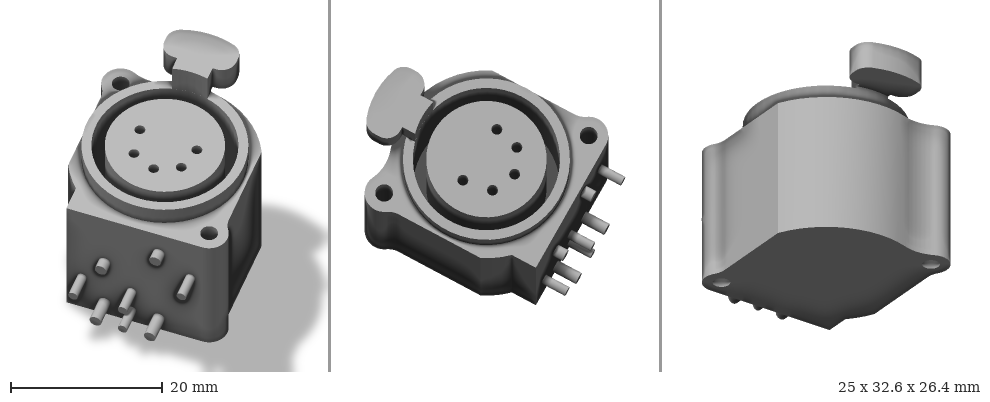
import cadquery as cq
import math


BODY_HEIGHT = 19.5
SIDE_X = 11.55
CORNER_ARC_RADIUS = 12.8
NOTCH_X = -9.2
EAR_OFFSET = 9.92
EAR_RADIUS = 2.58
EAR_HOLE_RADIUS = 1.17
SIDE_BLEND_RADIUS = 2.87
TOP_BLEND_RADIUS = 5.95
BOTTOM_Y = -(EAR_OFFSET + EAR_RADIUS)

RING_HEIGHT = 2.7
RING_TOP = BODY_HEIGHT + RING_HEIGHT
RING_RADIUS = 11.0
RING_INNER_RADIUS = 9.7
CORE_RADIUS = 7.93
GROOVE_DEPTH = 14.68
SOCKET_RADIUS = 0.72
SOCKET_DEPTH = 9.8
SOCKET_CENTRES = [(-4.0, 1.35), (-3.33, -2.75), (0, -4.25), (3.33, -2.75), (4.2, 0.75)]

PIN_LENGTH = 3.5
PEG_LENGTH = 1.5
THIN_RADIUS = 0.65
THICK_RADIUS = 0.8
THICK_X = 3.82
LOW_ROW_Z = 2.3
MID_ROW_Z = 6.15
CONTACT_PIN_CENTRES = [(-6.98, MID_ROW_Z), (0, MID_ROW_Z), (0, LOW_ROW_Z), (8.25, 12.53)]
GROUND_PIN_CENTRES = [(-THICK_X, LOW_ROW_Z), (THICK_X, LOW_ROW_Z)]
PEG_CENTRES = [(-THICK_X, 10.6), (THICK_X, 15.7)]

LATCH_TOP = 26.4
LATCH_CLEARANCE = 0.33
NECK_HALF_WIDTH = 2.48
HEAD_HALF_WIDTH = 5.05
HEAD_BOTTOM_Y = 11.3
HEAD_TOP_Y = 16.65
HEAD_CORNER_RADIUS = 2.02
HEAD_TOP_RADIUS = 11.1


def toward(start, end, distance):
    """Point at the given distance from start, on the line to end."""
    share = distance / math.dist(start, end)
    return (start[0] + share * (end[0] - start[0]), start[1] + share * (end[1] - start[1]))


def arc_middle(centre, radius, start, end):
    """Middle point of the shorter arc from start to end."""
    chord_middle = ((start[0] + end[0]) / 2, (start[1] + end[1]) / 2)
    return toward(centre, chord_middle, radius)


def opposite(point):
    """Point turned half a turn about the axis."""
    return (-point[0], -point[1])


def housing_outline():
    axis = (0, 0)
    ear = (-EAR_OFFSET, EAR_OFFSET)
    arc_end_y = math.sqrt(CORNER_ARC_RADIUS**2 - SIDE_X**2)

    side_blend_x = -SIDE_X - SIDE_BLEND_RADIUS
    side_reach = SIDE_BLEND_RADIUS + EAR_RADIUS
    side_blend_y = EAR_OFFSET - math.sqrt(side_reach**2 - (side_blend_x + EAR_OFFSET)**2)
    side_blend = (side_blend_x, side_blend_y)
    side_start = (-SIDE_X, side_blend_y)
    side_end = toward(side_blend, ear, SIDE_BLEND_RADIUS)
    side_middle = arc_middle(side_blend, SIDE_BLEND_RADIUS, side_start, side_end)

    ear_distance = math.hypot(*ear)
    axis_reach = CORNER_ARC_RADIUS + TOP_BLEND_RADIUS
    ear_reach = EAR_RADIUS + TOP_BLEND_RADIUS
    cosine = (ear_distance**2 + axis_reach**2 - ear_reach**2) / (2 * ear_distance * axis_reach)
    angle = math.atan2(ear[1], ear[0]) - math.acos(cosine)
    top_blend = (axis_reach * math.cos(angle), axis_reach * math.sin(angle))
    top_start = toward(top_blend, ear, TOP_BLEND_RADIUS)
    top_end = toward(top_blend, axis, TOP_BLEND_RADIUS)
    top_middle = arc_middle(top_blend, TOP_BLEND_RADIUS, top_start, top_end)

    ear_middle = arc_middle(ear, EAR_RADIUS, side_end, top_start)
    upper_arc_end = (SIDE_X, arc_end_y)
    upper_arc_middle = arc_middle(axis, CORNER_ARC_RADIUS, top_end, upper_arc_end)

    lower_ear = opposite(ear)
    lower_ear_start = opposite(side_end)
    lower_ear_end = (EAR_OFFSET, BOTTOM_Y)
    lower_ear_middle = arc_middle(lower_ear, EAR_RADIUS, lower_ear_start, lower_ear_end)

    lower_arc_start = (NOTCH_X, -math.sqrt(CORNER_ARC_RADIUS**2 - NOTCH_X**2))
    lower_arc_end = (-SIDE_X, -arc_end_y)
    lower_arc_middle = arc_middle(axis, CORNER_ARC_RADIUS, lower_arc_start, lower_arc_end)

    return (
        cq.Workplane("XY")
        .moveTo(*side_start)
        .threePointArc(side_middle, side_end)
        .threePointArc(ear_middle, top_start)
        .threePointArc(top_middle, top_end)
        .threePointArc(upper_arc_middle, upper_arc_end)
        .lineTo(*opposite(side_start))
        .threePointArc(opposite(side_middle), lower_ear_start)
        .threePointArc(lower_ear_middle, lower_ear_end)
        .lineTo(NOTCH_X, BOTTOM_Y)
        .lineTo(*lower_arc_start)
        .threePointArc(lower_arc_middle, lower_arc_end)
        .close()
    )


def bottom_cylinder(centre, radius, length):
    """Cylinder standing out from the bottom side of the housing."""
    plane = cq.Workplane("XZ", origin=(0, BOTTOM_Y, 0))
    return plane.center(*centre).circle(radius).extrude(length)


def make_housing():
    body = housing_outline().extrude(BODY_HEIGHT)
    body = body.union(cq.Workplane("XY").circle(RING_RADIUS).extrude(RING_TOP))

    groove = (
        cq.Workplane("XY", origin=(0, 0, RING_TOP))
        .circle(RING_INNER_RADIUS)
        .circle(CORE_RADIUS)
        .extrude(-GROOVE_DEPTH)
    )
    sockets = (
        cq.Workplane("XY", origin=(0, 0, RING_TOP))
        .pushPoints(SOCKET_CENTRES)
        .circle(SOCKET_RADIUS)
        .extrude(-SOCKET_DEPTH)
    )
    ear_holes = (
        cq.Workplane("XY")
        .pushPoints([(-EAR_OFFSET, EAR_OFFSET), (EAR_OFFSET, -EAR_OFFSET)])
        .circle(EAR_HOLE_RADIUS)
        .extrude(BODY_HEIGHT)
    )
    body = body.cut(groove).cut(sockets).cut(ear_holes)

    for centre in PEG_CENTRES:
        body = body.union(bottom_cylinder(centre, THICK_RADIUS, PEG_LENGTH))
    return body


def make_contact_pin(centre):
    return bottom_cylinder(centre, THIN_RADIUS, PIN_LENGTH)


def make_ground_pin(centre):
    return bottom_cylinder(centre, THICK_RADIUS, PIN_LENGTH)


def latch_head():
    corner_x = HEAD_HALF_WIDTH - HEAD_CORNER_RADIUS
    low_corner_y = HEAD_BOTTOM_Y + HEAD_CORNER_RADIUS
    diagonal = HEAD_CORNER_RADIUS * math.sqrt(0.5)

    top_centre = (0, HEAD_TOP_Y - HEAD_TOP_RADIUS)
    corner_reach = HEAD_TOP_RADIUS - HEAD_CORNER_RADIUS
    high_corner_y = top_centre[1] + math.sqrt(corner_reach**2 - corner_x**2)
    high_corner = (corner_x, high_corner_y)
    side_end = (HEAD_HALF_WIDTH, high_corner_y)
    top_start = toward(top_centre, high_corner, HEAD_TOP_RADIUS)
    high_middle = arc_middle(high_corner, HEAD_CORNER_RADIUS, side_end, top_start)

    return (
        cq.Workplane("XY", origin=(0, 0, RING_TOP + LATCH_CLEARANCE))
        .moveTo(-corner_x, HEAD_BOTTOM_Y)
        .lineTo(corner_x, HEAD_BOTTOM_Y)
        .threePointArc((corner_x + diagonal, low_corner_y - diagonal), (HEAD_HALF_WIDTH, low_corner_y))
        .lineTo(*side_end)
        .threePointArc(high_middle, top_start)
        .threePointArc((0, HEAD_TOP_Y), (-top_start[0], top_start[1]))
        .threePointArc((-high_middle[0], high_middle[1]), (-side_end[0], side_end[1]))
        .lineTo(-HEAD_HALF_WIDTH, low_corner_y)
        .threePointArc((-corner_x - diagonal, low_corner_y - diagonal), (-corner_x, HEAD_BOTTOM_Y))
        .close()
        .extrude(LATCH_TOP - RING_TOP - LATCH_CLEARANCE)
    )


def neck_strip(bottom_z, height, outer_radius):
    """Slice of the neck between the ring bore and the outer radius, ending at the head."""
    plane = cq.Workplane("XY", origin=(0, 0, bottom_z))
    annulus = plane.circle(outer_radius).circle(RING_INNER_RADIUS).extrude(height)
    strip = plane.center(0, HEAD_BOTTOM_Y / 2).rect(2 * NECK_HALF_WIDTH, HEAD_BOTTOM_Y).extrude(height)
    return annulus.intersect(strip)


def make_latch():
    """Head on a neck; the foot of the neck covers the ring from its bore to its outer edge."""
    neck_foot = neck_strip(RING_TOP, LATCH_CLEARANCE, RING_RADIUS)
    head_z = RING_TOP + LATCH_CLEARANCE
    neck_top = neck_strip(head_z, LATCH_TOP - head_z, HEAD_TOP_Y)
    neck = neck_foot.union(neck_top)
    return latch_head().union(neck)


housing = make_housing()
latch = make_latch()
contact_pins = [make_contact_pin(centre) for centre in CONTACT_PIN_CENTRES]
ground_pins = [make_ground_pin(centre) for centre in GROUND_PIN_CENTRES]

result = cq.Compound.makeCompound([
    housing.solids().val(),
    latch.solids().val(),
    *[pin.val() for pin in contact_pins],
    *[pin.val() for pin in ground_pins],
])